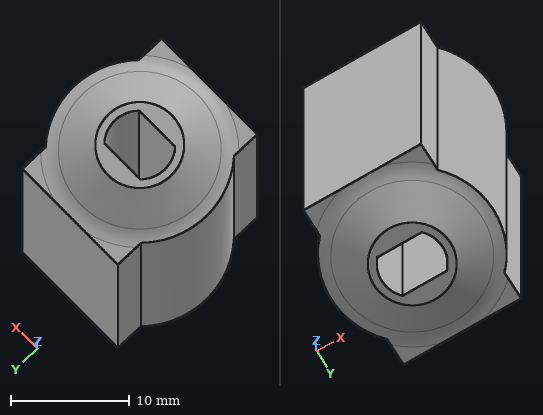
import cadquery as cq
import math

total_height = 33.0
barrel_diameter = 15.97
block_width = 11.65
block_depth = 16.4

cone_height = 2.2
cone_tip_radius = 3.75
cone_angle = math.radians(30)
fillet_radius = 3.0

bore_diameter = 6.0
bore_flats = 4.1

shoulder_height = total_height / 2 - cone_height


def make_body():
    """Upright barrel merged with a rectangular block, between the two shoulders."""
    body_height = 2 * shoulder_height
    barrel = cq.Workplane("XY").circle(barrel_diameter / 2).extrude(body_height / 2, both=True)
    block = cq.Workplane("XY").box(block_width, block_depth, body_height)
    return barrel.union(block)


def make_end_cone():
    """Upper cone with its foot fillet, trimmed to the outline of the body."""
    cone_foot_radius = cone_tip_radius + cone_height / math.tan(cone_angle)
    tangent_length = fillet_radius * math.tan(cone_angle / 2)
    fillet_outer_radius = cone_foot_radius + tangent_length
    fillet_center_height = shoulder_height + fillet_radius

    def fillet_point(angle):
        return (
            fillet_outer_radius - fillet_radius * math.sin(angle),
            fillet_center_height - fillet_radius * math.cos(angle),
        )

    cone = (
        cq.Workplane("XZ")
        .moveTo(0, 0)
        .lineTo(fillet_outer_radius, 0)
        .lineTo(fillet_outer_radius, shoulder_height)
        .threePointArc(fillet_point(cone_angle / 2), fillet_point(cone_angle))
        .lineTo(cone_tip_radius, total_height / 2)
        .lineTo(0, total_height / 2)
        .close()
        .revolve(360, (0, 0), (0, 1))
    )
    barrel_outline = cq.Workplane("XY").circle(barrel_diameter / 2).extrude(total_height)
    block_outline = cq.Workplane("XY").rect(block_width, block_depth).extrude(total_height)
    return cone.intersect(barrel_outline.union(block_outline))


def make_bore():
    """Round bore narrowed by flats facing the Y direction."""
    round_bore = cq.Workplane("XY").circle(bore_diameter / 2).extrude(total_height, both=True)
    flats = cq.Workplane("XY").box(bore_diameter, bore_flats, 2 * total_height)
    return round_bore.intersect(flats)


top_cone = make_end_cone()
bottom_cone = top_cone.mirror("XY")
result = make_body().union(top_cone).union(bottom_cone).cut(make_bore())